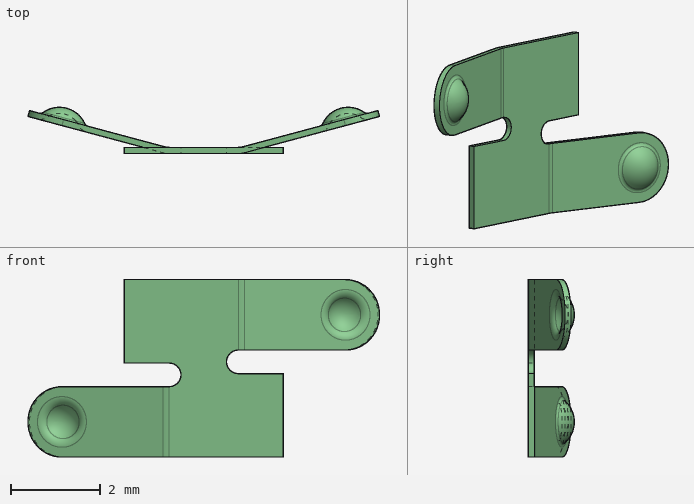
import cadquery as cq
import math

thickness = 0.14
total_height = 3.96

plate_half_width = 1.775
notch_width = 0.52
notch_radius = notch_width / 2

arm_width = 1.575
arm_end_radius = arm_width / 2
arm_mid_z = total_height / 2 - arm_end_radius
bend_angle = 15.0
bend_start_x = 0.77
bend_inner_radius = 0.41
bend_outer_radius = bend_inner_radius + thickness
arm_tip_x = 3.92
bend_end_x = bend_start_x + bend_outer_radius * math.sin(math.radians(bend_angle))
arm_length = (arm_tip_x - bend_end_x) / math.cos(math.radians(bend_angle))
arm_straight_length = arm_length - arm_end_radius

dimple_radius = 0.565
dimple_depth = 0.265
rim_radius = 0.25
cap_angle = 2 * math.atan(dimple_depth / dimple_radius)
cap_inner_radius = dimple_radius / math.sin(cap_angle) - rim_radius
cap_center_y = dimple_depth - cap_inner_radius


def half_turn(body):
    """Turn a body half a revolution about the Y axis through the part centre."""
    return body.rotate((0, 0, 0), (0, 1, 0), 180)


def flat_box(x_min, x_max, z_min, z_max):
    """Piece of flat sheet with its front face at Y = 0."""
    return (
        cq.Workplane("XY")
        .box(x_max - x_min, thickness, z_max - z_min, centered=False)
        .translate((x_min, 0, z_min))
    )


def make_notch():
    """Round-ended notch that frees the upper arm from the lower half of the plate."""
    z_top = total_height / 2 - arm_width
    z_bottom = z_top - notch_width
    slot = flat_box(bend_start_x, plate_half_width, z_bottom, z_top)
    round_end = (
        cq.Workplane("XZ")
        .center(bend_start_x, z_top - notch_radius)
        .circle(notch_radius)
        .extrude(-thickness)
    )
    return slot.union(round_end)


def make_plate():
    """Flat centre plate, identical after a half turn, with a notch beside each arm."""
    half_height = total_height / 2
    right_of_arm = flat_box(bend_start_x, plate_half_width, half_height - arm_width, half_height)
    notch = make_notch()
    plate = flat_box(-plate_half_width, plate_half_width, -half_height, half_height)
    for cut in (right_of_arm, notch):
        plate = plate.cut(cut).cut(half_turn(cut))
    return plate


def dimple_profile_points(offset):
    """Rim middle, rim end, cap middle and cap apex (radius, height) at an offset from the front face."""
    rim = rim_radius - offset
    cap = cap_inner_radius + offset

    def on_rim(angle):
        return (dimple_radius - rim * math.sin(angle), rim_radius - rim * math.cos(angle))

    def on_cap(angle):
        return (cap * math.sin(angle), cap_center_y + cap * math.cos(angle))

    return on_rim(cap_angle / 2), on_rim(cap_angle), on_cap(cap_angle / 2), on_cap(0)


def make_dimple():
    """Domed shell of constant thickness, revolved about the Y axis."""
    front_rim_mid, front_rim_end, front_cap_mid, front_apex = dimple_profile_points(0)
    back_rim_mid, back_rim_end, back_cap_mid, back_apex = dimple_profile_points(thickness)
    return (
        cq.Workplane("XY")
        .moveTo(dimple_radius, 0)
        .threePointArc(front_rim_mid, front_rim_end)
        .threePointArc(front_cap_mid, front_apex)
        .lineTo(*back_apex)
        .threePointArc(back_cap_mid, back_rim_end)
        .threePointArc(back_rim_mid, (dimple_radius, thickness))
        .close()
        .revolve(360, (0, 0, 0), (0, 1, 0))
    )


def make_bend():
    """Curved strip joining the plate to the upper arm."""
    return (
        cq.Workplane("YZ", origin=(bend_start_x, 0, arm_mid_z))
        .center(thickness / 2, 0)
        .rect(thickness, arm_width)
        .revolve(
            bend_angle,
            (bend_outer_radius - thickness / 2, -1, 0),
            (bend_outer_radius - thickness / 2, 1, 0),
        )
    )


def make_arm():
    """Upper arm: bend, straight strip with a round end, and the dimple centred on that end."""
    end_center_x = bend_start_x + arm_straight_length
    blade = (
        cq.Workplane("XZ", origin=(bend_start_x, 0, arm_mid_z))
        .moveTo(0, -arm_end_radius)
        .lineTo(arm_straight_length, -arm_end_radius)
        .threePointArc((arm_length, 0), (arm_straight_length, arm_end_radius))
        .lineTo(0, arm_end_radius)
        .close()
        .moveTo(arm_straight_length, 0)
        .circle(dimple_radius)
        .extrude(-thickness)
    )
    dimple = make_dimple().translate((end_center_x, 0, arm_mid_z))
    bend_axis_start = (bend_start_x, bend_outer_radius, 0)
    bend_axis_end = (bend_start_x, bend_outer_radius, 1)
    tilted = blade.union(dimple).rotate(bend_axis_start, bend_axis_end, bend_angle)
    return make_bend().union(tilted)


arm = make_arm()
result = make_plate().union(arm).union(half_turn(arm))